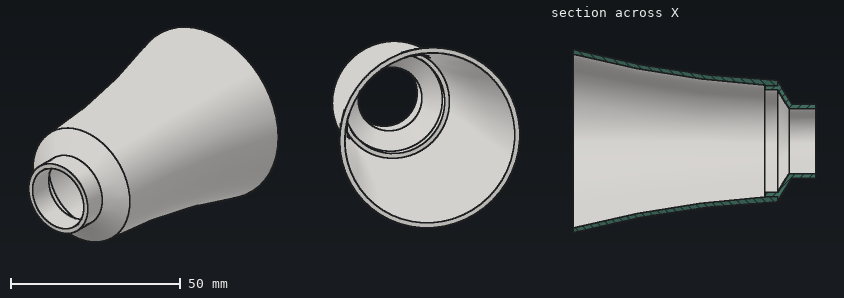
import cadquery as cq

total_length = 71.4
rim_radius = 54.0 / 2
rim_height = 0.5
rim_y = total_length - rim_height

shoulder_y = 11.2
shoulder_radius = 18.0

neck_radius = 22.0 / 2
bore_radius = 19.0 / 2
neck_length = 7.0
bore_length = 7.85
spigot_radius = 32.85 / 2
spigot_inner_radius = 30.0 / 2
spigot_end_y = 15.0
shoulder_hollow = 0.15

flare_mid_y = 31.7
flare_mid_radius = 19.55
wall = shoulder_radius - spigot_radius


def revolve_about_y(profile):
    """Turn a closed half profile (radius along X) about the Y axis."""
    return profile.revolve(360, (0, 0), (0, 1))


def make_cap():
    """Neck tube opening through a hollow shoulder into the spigot."""
    shoulder_mid = (
        (neck_radius + shoulder_radius) / 2 - shoulder_hollow,
        (neck_length + shoulder_y) / 2,
    )
    profile = (
        cq.Workplane("XY")
        .moveTo(bore_radius, 0)
        .lineTo(neck_radius, 0)
        .lineTo(neck_radius, neck_length)
        .threePointArc(shoulder_mid, (shoulder_radius, shoulder_y))
        .lineTo(spigot_radius, shoulder_y)
        .lineTo(spigot_radius, spigot_end_y)
        .lineTo(spigot_inner_radius, spigot_end_y)
        .lineTo(spigot_inner_radius, shoulder_y)
        .lineTo(bore_radius, bore_length)
        .close()
    )
    return revolve_about_y(profile)


def make_shade():
    """Flared tube with a straight socket for the spigot and a short straight rim."""
    inner_rim_radius = rim_radius - wall
    flare_mid_inner = (flare_mid_radius - wall, flare_mid_y)
    profile = (
        cq.Workplane("XY")
        .moveTo(spigot_radius, shoulder_y)
        .lineTo(shoulder_radius, shoulder_y)
        .threePointArc((flare_mid_radius, flare_mid_y), (rim_radius, rim_y))
        .lineTo(rim_radius, total_length)
        .lineTo(inner_rim_radius, total_length)
        .lineTo(inner_rim_radius, rim_y)
        .threePointArc(flare_mid_inner, (spigot_radius, spigot_end_y))
        .close()
    )
    return revolve_about_y(profile)


cap = make_cap()
shade = make_shade()

result = cq.Compound.makeCompound([cap.val(), shade.val()])